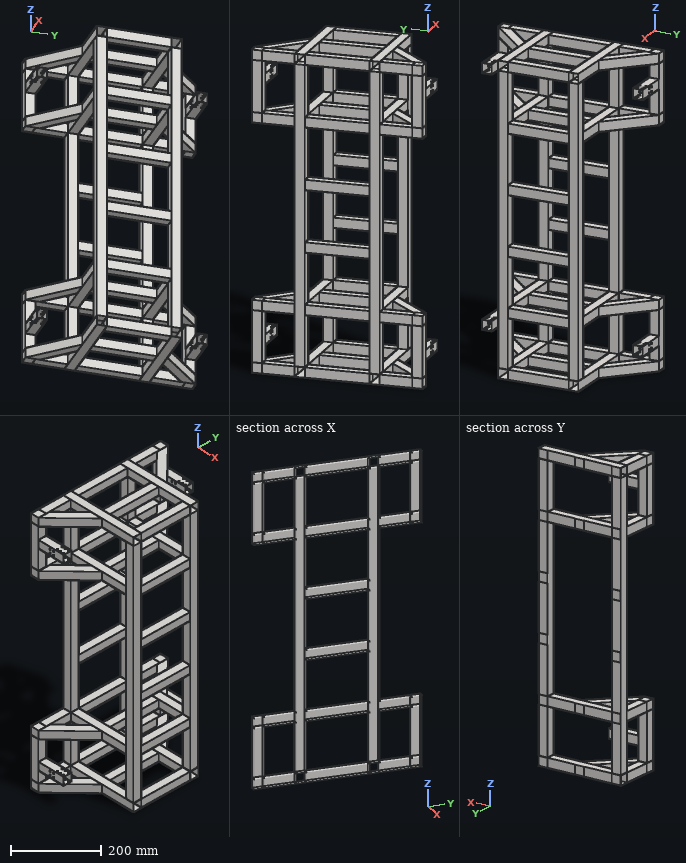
import cadquery as cq
import math

length_x = 225.0
height = 750.0
tube = height / 30
wall = tube / 25

rung_count = 6
rung_pitch = (height - tube) / (rung_count - 1)
ladder_half_width = 4 * tube
wing_half_width = 8 * tube
back_x = length_x - tube
strut_x = (length_x - tube) / 2

arm_tip_x = 105.0
arm_inset = 60.0
hole_diameter = 4.0
side_hole_centre_x = 67.5
side_hole_pitch = 11.0
top_hole_tip_distance = 5.0
top_hole_pitch = 10.0
top_hole_columns = 3
top_hole_row_spacing = 15.0

rung_z = [i * rung_pitch for i in range(rung_count)]
end_z = (rung_z[0], rung_z[-1])
second_z = (rung_z[1], rung_z[-2])
wing_rung_z = end_z + second_z
arm_z = (arm_inset, height - arm_inset - tube)
ladder_inner = ladder_half_width - tube
wing_inner = wing_half_width - tube
sides = (-1, 1)

X, Y, Z = 0, 1, 2


def box(low, high):
    """Box between two opposite corners."""
    size = [b - a for a, b in zip(low, high)]
    return cq.Solid.makeBox(*size, cq.Vector(*low))


def square_tube(axis, start, end, corner):
    """Outside and bore of an open-ended tube; corner is its low corner across the axis."""
    outer_low = list(corner)
    outer_high = [c + tube for c in corner]
    bore_low = [c + wall for c in corner]
    bore_high = [c + tube - wall for c in corner]
    for low_corner in (outer_low, bore_low):
        low_corner.insert(axis, start)
    for high_corner in (outer_high, bore_high):
        high_corner.insert(axis, end)
    return box(outer_low, outer_high), box(bore_low, bore_high)


def corner_block(y, z):
    """Outside and closed cavity of the hollow cube at a wing corner."""
    low = (0, y, z)
    outer = box(low, [c + tube for c in low])
    cavity = box([c + wall for c in low], [c + tube - wall for c in low])
    return outer, cavity


def brace_bar(side, z, inset):
    """Diagonal bar at 45 degrees from a wing corner to a ladder, thinned all round by inset."""
    run = wing_half_width - ladder_half_width
    near = inset * math.sqrt(2)
    far = (tube - inset) * math.sqrt(2)
    outline = [
        (tube, side * (wing_half_width - near)),
        (tube + run - near, side * ladder_half_width),
        (tube + run - far, side * ladder_half_width),
        (tube, side * (wing_half_width - far)),
    ]
    base = cq.Workplane("XY").workplane(offset=z + inset)
    return base.polyline(outline).close().extrude(tube - 2 * inset).val()


def brace(side, z):
    """Outside and bore of a diagonal brace."""
    return brace_bar(side, z, 0), brace_bar(side, z, wall)


def ladder_members():
    """The two side frames: uprights and the X beams between them."""
    members = []
    for y in (-ladder_half_width, ladder_inner):
        for z in end_z:
            members.append(square_tube(X, 0, length_x, (y, z)))
        for z in second_z:
            members.append(square_tube(X, tube, back_x, (y, z)))
        for x in (0, back_x):
            members.append(square_tube(Z, tube, height - tube, (x, y)))
    return members


def cross_members():
    """Rungs on both X faces and the struts halfway between them."""
    places = [(x, z) for x in (0, back_x) for z in rung_z]
    places += [(strut_x, z) for z in wing_rung_z]
    return [square_tube(Y, -ladder_inner, ladder_inner, place) for place in places]


def wing_members(side):
    """The upper and lower wing on one side, with their braces and arms."""
    post_y = min(side * wing_inner, side * wing_half_width)
    rung_start, rung_end = sorted((side * ladder_half_width, side * wing_inner))
    members = []
    for z in wing_rung_z:
        members.append(square_tube(Y, rung_start, rung_end, (0, z)))
        members.append(corner_block(post_y, z))
        members.append(brace(side, z))
    for z in (rung_z[0], rung_z[-2]):
        members.append(square_tube(Z, z + tube, z + rung_pitch, (0, post_y)))
    for z in arm_z:
        members.append(square_tube(X, tube, arm_tip_x, (post_y, z)))
    return members


def drill(centre, direction):
    """Drill that passes through both walls of an arm."""
    axis = cq.Vector(*direction)
    start = cq.Vector(*centre) - axis * tube
    return cq.Solid.makeCylinder(hole_diameter / 2, 2 * tube, start, axis)


def arm_drills(y, z):
    """Side and top hole patterns of the arm centred on y and z."""
    drills = []
    for row in sides:
        for column in sides:
            x = side_hole_centre_x + column * side_hole_pitch / 2
            drills.append(drill((x, y, z + row * side_hole_pitch / 2), (0, 1, 0)))
        for column in range(top_hole_columns):
            x = arm_tip_x - top_hole_tip_distance - column * top_hole_pitch
            drills.append(drill((x, y + row * top_hole_row_spacing / 2, z), (0, 0, 1)))
    return drills


frame_members = ladder_members() + cross_members()
hole_drills = []
for side in sides:
    frame_members += wing_members(side)
    for z in arm_z:
        hole_drills += arm_drills(side * (wing_half_width - tube / 2), z + tube / 2)

outsides = [outside for outside, bore in frame_members]
bores = [bore for outside, bore in frame_members]

frame = outsides[0].fuse(*outsides[1:]).clean()
result = cq.Workplane(obj=frame.cut(*bores, *hole_drills).Solids()[0])